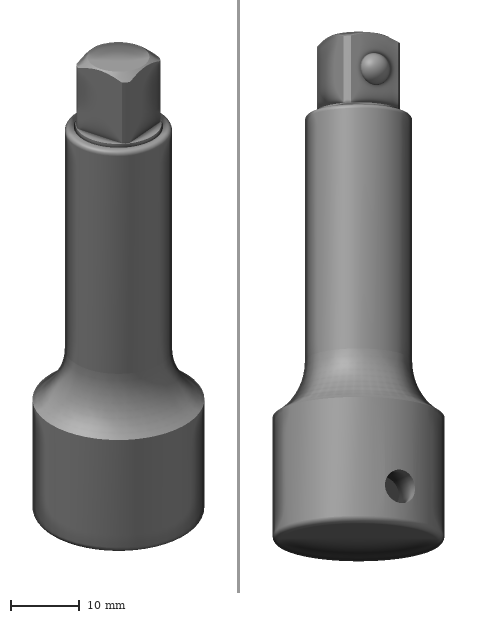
import cadquery as cq
import math

socket_diameter = 25.0
socket_height = 18.7
socket_edge_fillet = 0.9
sleeve_diameter = 15.6
sleeve_height = 63.8
sleeve_edge_fillet = 0.7
flare_height = 8.4

detent_hole_diameter = 5.0
detent_hole_height = 5.7
detent_hole_depth = 5.0

overall_height = 75.3
plug_diameter = 12.6
plug_clearance = 0.2
plug_depth = 10.0
plug_protrusion = 0.5
square_width = 9.5
square_corner_diameter = 12.3
square_top_diameter = 9.0
square_lead_slope = math.radians(30)

ball_diameter = 4.8
ball_reach = 6.85
ball_height = 69.8

socket_radius = socket_diameter / 2
sleeve_radius = sleeve_diameter / 2
bore_floor = sleeve_height - plug_depth
square_base = sleeve_height + plug_protrusion
square_length = overall_height - square_base


def make_ball():
    ball_centre_y = ball_reach - ball_diameter / 2
    return cq.Workplane("XY").sphere(ball_diameter / 2).translate((0, ball_centre_y, ball_height))


def make_body():
    flare_width = socket_radius - sleeve_radius
    flare_radius = (flare_width**2 + flare_height**2) / (2 * flare_width)
    flare_top = socket_height + flare_height
    half_angle = math.atan2(flare_width, flare_height)
    arc_centre_r = sleeve_radius + flare_radius
    arc_middle = (
        arc_centre_r - flare_radius * math.cos(half_angle),
        flare_top - flare_radius * math.sin(half_angle),
    )
    profile = (
        cq.Workplane("XZ")
        .lineTo(socket_radius, 0)
        .lineTo(socket_radius, socket_height)
        .threePointArc(arc_middle, (sleeve_radius, flare_top))
        .lineTo(sleeve_radius, sleeve_height)
        .lineTo(0, sleeve_height)
        .close()
    )
    body = profile.revolve(360, (0, 0, 0), (0, 1, 0))
    body = body.faces("<Z").edges().fillet(socket_edge_fillet)
    body = body.faces(">Z").edges().fillet(sleeve_edge_fillet)
    detent_hole = (
        cq.Workplane("XZ", origin=(0, socket_radius, detent_hole_height))
        .circle(detent_hole_diameter / 2)
        .extrude(detent_hole_depth)
    )
    plug_bore = (
        cq.Workplane("XY", origin=(0, 0, bore_floor))
        .circle(plug_diameter / 2 + plug_clearance)
        .extrude(plug_depth)
    )
    return body.cut(detent_hole).cut(plug_bore)


def make_drive():
    blank_radius = square_corner_diameter / 2
    top_radius = square_top_diameter / 2
    cone_height = (blank_radius - top_radius) * math.tan(square_lead_slope)
    blank = (
        cq.Workplane("XZ")
        .moveTo(0, square_base)
        .lineTo(blank_radius, square_base)
        .lineTo(blank_radius, overall_height - cone_height)
        .lineTo(top_radius, overall_height)
        .lineTo(0, overall_height)
        .close()
        .revolve(360, (0, 0, 0), (0, 1, 0))
    )
    square = (
        cq.Workplane("XY", origin=(0, 0, square_base))
        .rect(square_width, square_width)
        .extrude(square_length)
        .intersect(blank)
    )
    plug = (
        cq.Workplane("XY", origin=(0, 0, bore_floor))
        .circle(plug_diameter / 2)
        .extrude(plug_depth + plug_protrusion)
    )
    return plug.union(square).cut(make_ball())


body = make_body()
drive = make_drive()
ball = make_ball()

result = cq.Compound.makeCompound([body.val(), drive.val(), ball.val()])